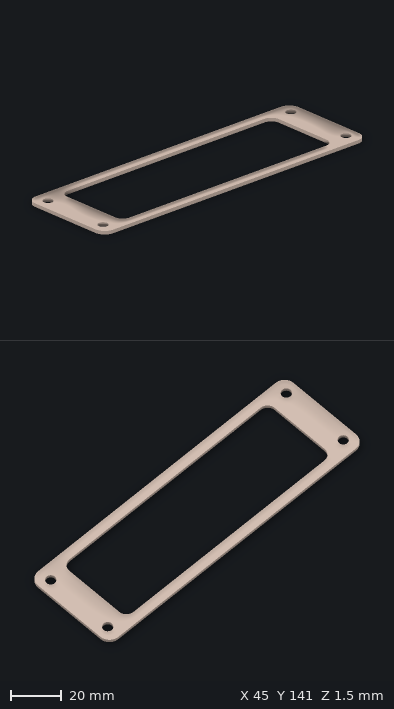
import cadquery as cq

length = 141.0
width = 45.0
thickness = 1.5
corner_radius = 5.0

window_length = 113.4
window_width = 36.0
window_corner_radius = 4.0

hole_diameter = 4.5
hole_spacing_x = 32.0
hole_spacing_y = 130.0


def rounded_plate(size_x, size_y, radius):
    """Plate resting on Z = 0 with rounded vertical corners."""
    plate = cq.Workplane("XY").box(size_x, size_y, thickness, centered=(True, True, False))
    return plate.edges("|Z").fillet(radius)


outer_plate = rounded_plate(width, length, corner_radius)
window = rounded_plate(window_width, window_length, window_corner_radius)

result = (
    outer_plate.cut(window)
    .faces(">Z")
    .workplane(origin=(0, 0, thickness))
    .rect(hole_spacing_x, hole_spacing_y, forConstruction=True)
    .vertices()
    .hole(hole_diameter)
)